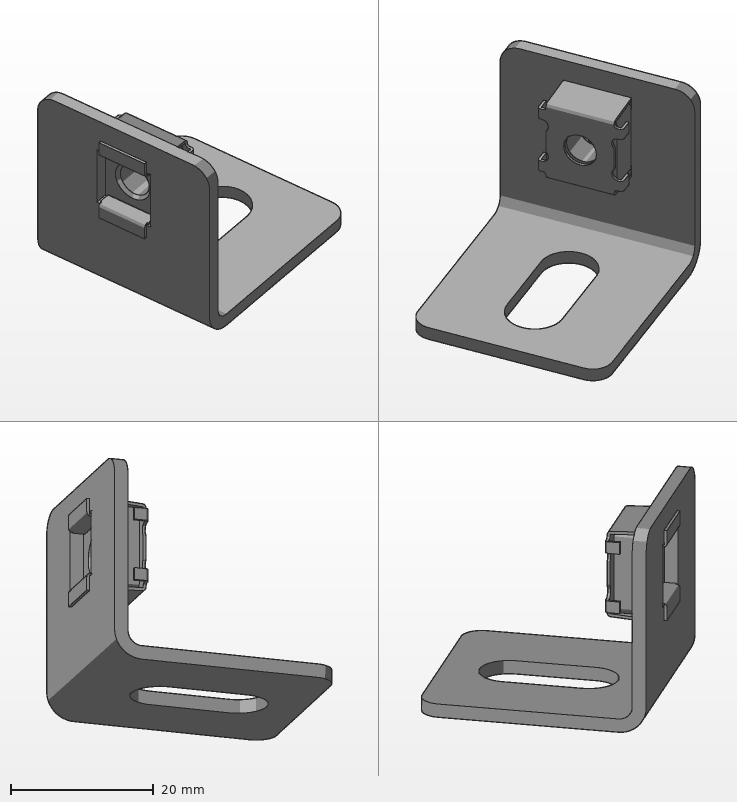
import cadquery as cq
import math

BRACKET_WIDTH = 30.0
BRACKET_HEIGHT = 30.0
BRACKET_DEPTH = 33.0
PLATE = 2.0
BEND_OUTER = 2 * PLATE
CORNER_RADIUS = 3.0
SLOT_WIDTH = 8.5
SLOT_LENGTH = 20.0
SLOT_BACK_MARGIN = 5.5
WINDOW_SIDE = 9.35
WINDOW_CENTRE_Z = 20.0

NUT_CENTRE_Z = 19.87
NUT_HEIGHT = 12.05
NUT_FRONT_Y = 2.15
NUT_BACK_Y = 6.95
NUT_CORNER_RADIUS = 1.0
BORE_DIAMETER = 5.02
BORE_MOUTH_DIAMETER = 6.02

SHEET = 0.45
CAGE_WIDTH = 10.5
CAGE_BACK_Y = 7.93
CAGE_BACK_HALF = 6.4
CAGE_FRONT_HALF = 6.72
CAGE_BEND_OUTER = 0.6
CAGE_BEND_INNER = CAGE_BEND_OUTER - SHEET

FOOT_INNER_HALF = 4.9
FLANGE_INNER_HALF = 4.2
FLANGE_OUTER_HALF = NUT_CENTRE_Z - (WINDOW_CENTRE_Z - WINDOW_SIDE / 2)
FLANGE_WIDTH = 8.3
FLANGE_ROOT_RADIUS = 0.27
LIP_THICKNESS = SHEET
LIP_WIDTH = 8.0
LIP_OUTER_HALF = 6.75
LIP_BEND_RADIUS = 0.6

TAB_SPREAD = 13.18
TAB_INNER_EDGE = 3.58
TAB_OUTER_EDGE = 5.32
TAB_END_Y = 5.8
TAB_BEND_OUTER = 0.55
TAB_BEND_INNER = TAB_BEND_OUTER - SHEET
RELIEF_RADIUS = 1.0
RELIEF_ANGLE = math.radians(40)
RELIEF_EDGE_RADIUS = 0.57
TAB_ROOT_FILLET = CAGE_BACK_HALF - CAGE_BEND_OUTER - TAB_OUTER_EDGE


def block(x_size, y_min, y_max, z_min, z_max):
    """Box centred on X between the given Y and Z limits."""
    return (
        cq.Workplane("XY")
        .box(x_size, y_max - y_min, z_max - z_min, centered=(True, False, False))
        .translate((0, y_min, z_min))
    )


def make_bracket():
    """L-shaped bent plate with a slot in its foot and a square window in its wall."""
    body = block(BRACKET_WIDTH, 0, BRACKET_DEPTH, 0, BRACKET_HEIGHT)
    body = body.edges("|X and <Y and <Z").fillet(BEND_OUTER)
    inside = block(BRACKET_WIDTH, PLATE, BRACKET_DEPTH, PLATE, BRACKET_HEIGHT)
    inside = inside.edges("|X and <Y and <Z").fillet(BEND_OUTER - PLATE)
    body = body.cut(inside)
    body = body.edges("|Y and >Z").fillet(CORNER_RADIUS)
    body = body.edges("|Z and >Y").fillet(CORNER_RADIUS)

    slot_centre_y = BRACKET_DEPTH - SLOT_BACK_MARGIN - SLOT_LENGTH / 2
    slot = (
        cq.Workplane("XY")
        .center(0, slot_centre_y)
        .slot2D(SLOT_LENGTH, SLOT_WIDTH, 90)
        .extrude(PLATE)
    )
    half = WINDOW_SIDE / 2
    window = block(WINDOW_SIDE, 0, PLATE, WINDOW_CENTRE_Z - half, WINDOW_CENTRE_Z + half)
    return body.cut(slot).cut(window)



def make_nut():
    """Rectangular nut with rounded corners."""
    half = NUT_HEIGHT / 2
    body = block(CAGE_WIDTH, NUT_FRONT_Y, NUT_BACK_Y, -half, half)
    return body.edges("|Y").fillet(NUT_CORNER_RADIUS)


def bore():
    """Bore through the nut and the cage, with a 45 degree lead-in at the front."""
    radius = BORE_DIAMETER / 2
    mouth = BORE_MOUTH_DIAMETER / 2
    return (
        cq.Workplane("XY")
        .moveTo(0, NUT_FRONT_Y)
        .lineTo(mouth, NUT_FRONT_Y)
        .lineTo(radius, NUT_FRONT_Y + mouth - radius)
        .lineTo(radius, CAGE_BACK_Y)
        .lineTo(0, CAGE_BACK_Y)
        .close()
        .revolve(360, (0, 0), (0, 1))
    )


def arm_trapezoid(back_y, back_half, front_half, bend_radius):
    """Prism that flares from the cage back to the bracket, rounded at the back."""
    return (
        cq.Workplane("YZ")
        .polyline([(PLATE, -front_half), (back_y, -back_half), (back_y, back_half), (PLATE, front_half)])
        .close()
        .extrude(CAGE_WIDTH / 2, both=True)
        .edges("|X and >Y")
        .fillet(bend_radius)
    )


def make_arms():
    """Arms above and below the nut, with their bends at the back."""
    outside = arm_trapezoid(CAGE_BACK_Y, CAGE_BACK_HALF, CAGE_FRONT_HALF, CAGE_BEND_OUTER)
    inside = arm_trapezoid(
        CAGE_BACK_Y - SHEET, CAGE_BACK_HALF - SHEET, CAGE_FRONT_HALF - SHEET, CAGE_BEND_INNER
    )
    bend_start = CAGE_BACK_HALF - CAGE_BEND_OUTER
    back_opening = block(CAGE_WIDTH, CAGE_BACK_Y - SHEET, CAGE_BACK_Y, -bend_start, bend_start)
    return outside.cut(inside).cut(back_opening)


def make_hook():
    """Upper hook: foot behind the bracket, flange through the window, lip on the front."""
    foot = block(CAGE_WIDTH, PLATE, NUT_FRONT_Y, FOOT_INNER_HALF, CAGE_FRONT_HALF - SHEET / 2)
    bend_end_y = LIP_BEND_RADIUS - LIP_THICKNESS
    flange = block(FLANGE_WIDTH, bend_end_y, NUT_FRONT_Y, FLANGE_INNER_HALF, FLANGE_OUTER_HALF)
    flange = flange.edges("|X and >Y and <Z").fillet(FLANGE_ROOT_RADIUS)
    neck = block(LIP_WIDTH, -LIP_THICKNESS, bend_end_y + SHEET, FLANGE_INNER_HALF, FLANGE_OUTER_HALF)
    lip = block(LIP_WIDTH, -LIP_THICKNESS, 0, FLANGE_INNER_HALF, LIP_OUTER_HALF)
    hook = neck.union(lip).edges("|X and <Y and <Z").fillet(LIP_BEND_RADIUS)
    return hook.union(flange).union(foot)


def back_plate_quarter():
    """Upper right quarter of the cage back, out to the start of the tab bend."""
    side = CAGE_WIDTH / 2
    bend_start = TAB_SPREAD / 2 - TAB_BEND_OUTER
    meet_x = side - RELIEF_EDGE_RADIUS * (1 - math.cos(RELIEF_ANGLE))
    relief_x = meet_x + RELIEF_RADIUS * math.cos(RELIEF_ANGLE)
    relief_z = TAB_INNER_EDGE - RELIEF_RADIUS
    meet_z = relief_z - RELIEF_RADIUS * math.sin(RELIEF_ANGLE)
    edge_x = side - RELIEF_EDGE_RADIUS
    edge_z = meet_z - RELIEF_EDGE_RADIUS * math.sin(RELIEF_ANGLE)
    half_angle = RELIEF_ANGLE / 2
    edge_middle = (
        edge_x + RELIEF_EDGE_RADIUS * math.cos(half_angle),
        edge_z + RELIEF_EDGE_RADIUS * math.sin(half_angle),
    )
    root_x = side + TAB_ROOT_FILLET
    root_z = TAB_OUTER_EDGE + TAB_ROOT_FILLET
    root_reach = TAB_ROOT_FILLET * math.sqrt(0.5)
    return (
        cq.Workplane("XZ", origin=(0, CAGE_BACK_Y - SHEET, 0))
        .lineTo(side, 0)
        .lineTo(side, edge_z)
        .threePointArc(edge_middle, (meet_x, meet_z))
        .threePointArc((relief_x - RELIEF_RADIUS, relief_z), (relief_x, TAB_INNER_EDGE))
        .lineTo(bend_start, TAB_INNER_EDGE)
        .lineTo(bend_start, TAB_OUTER_EDGE)
        .lineTo(root_x, TAB_OUTER_EDGE)
        .threePointArc((root_x - root_reach, root_z - root_reach), (side, root_z))
        .lineTo(0, root_z)
        .close()
        .extrude(-SHEET)
    )


def bent_tab():
    """Upper right tab: the bend and the leg that runs forward beside the nut."""
    reach = TAB_SPREAD / 2
    bend_start = reach - TAB_BEND_OUTER
    inner_y = CAGE_BACK_Y - SHEET
    bend_y = CAGE_BACK_Y - TAB_BEND_OUTER
    outer_middle = TAB_BEND_OUTER * math.sqrt(0.5)
    inner_middle = TAB_BEND_INNER * math.sqrt(0.5)
    return (
        cq.Workplane("XY", origin=(0, 0, TAB_INNER_EDGE))
        .moveTo(bend_start, CAGE_BACK_Y)
        .threePointArc((bend_start + outer_middle, bend_y + outer_middle), (reach, bend_y))
        .lineTo(reach, TAB_END_Y)
        .lineTo(reach - SHEET, TAB_END_Y)
        .lineTo(reach - SHEET, bend_y)
        .threePointArc((bend_start + inner_middle, bend_y + inner_middle), (bend_start, inner_y))
        .close()
        .extrude(TAB_OUTER_EDGE - TAB_INNER_EDGE)
    )


def make_cage():
    """Sheet cage: arms, back plate with four tabs, and two hooks."""
    quarter = back_plate_quarter().union(bent_tab())
    upper = quarter.union(quarter.mirror("YZ")).union(make_hook())
    return make_arms().union(upper).union(upper.mirror("XY"))


def make_cage_nut():
    """Nut held in its cage, as one body."""
    return make_nut().union(make_cage()).cut(bore()).translate((0, 0, NUT_CENTRE_Z))


bracket = make_bracket()
cage_nut = make_cage_nut()
result = cq.Compound.makeCompound([bracket.solids().val(), cage_nut.solids().val()])